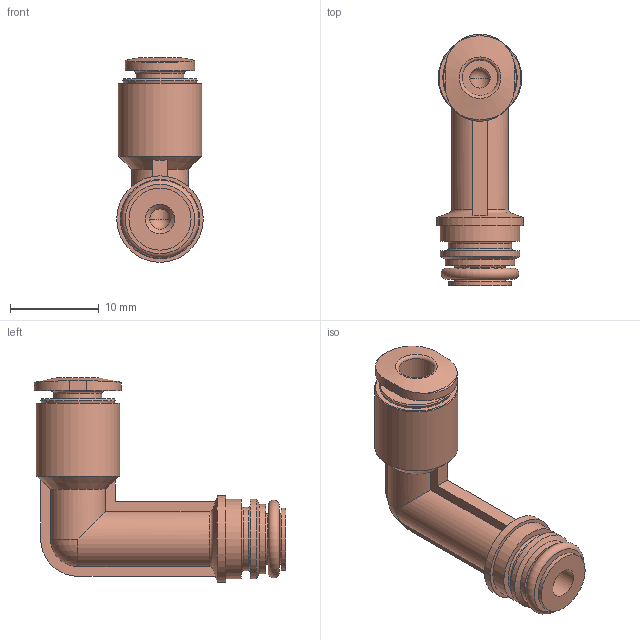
import cadquery as cq
import math


pipe_radius = 6.4 / 2
bore_radius = 2.3 / 2

rib_width = 1.6
rib_reach = 4.2
rib_corner_radius = 4.2

socket_top = 18.19
body_radius = 9.4 / 2
body_bottom = 7.1
body_cone_height = body_radius - pipe_radius
body_top_chamfer = 0.08
collar_top = socket_top - 2.4
collar_radius = 8.4 / 2
collar_end_radius = 8.2 / 2
collar_ridge = collar_top - 0.18
body_top = collar_top - 0.47

button_width = 7.8
button_length = 9.8
button_thickness = 1.48
button_bottom = socket_top - button_thickness
button_dome_height = 0.45
button_rim_bevel_width = 0.17
button_rim_bevel_height = 0.13
button_neck_radius = 5.4 / 2
button_neck_fillet = 0.35

tube_hole_radius = 4.0 / 2
tube_seat = body_bottom
tube_lip_radius = 0.35

overall_length = 28.3
spigot_reach = overall_length - button_length / 2
end_flange_radius = 7.0 / 2
end_flange_length = 0.47
oring_groove_radius = 5.65 / 2
oring_groove_end = 2.25
oring_groove_fillet = 0.2
oring_radius = 8.75 / 2
oring_start = 0.71
oring_width = 1.25
oring_shoulder_radius = 7.82 / 2
land_radius = 7.8 / 2
land_end = 2.95
barrel_radius = 8.93 / 2
barrel_chamfer_end = 3.28
clip_groove_start = 3.95
clip_groove_end = 5.0
clip_groove_radius = 7.15 / 2
clip_groove_fillet = 0.22
barrel_end = 6.75
shoulder_radius = 9.75 / 2
shoulder_end = 7.67
shoulder_cone_angle = 20
shoulder_fillet = 0.46
mouth_radius = 3.3 / 2
mouth_depth = 4.0


def revolve_profile(profile):
    """Revolve a closed (radius, height) profile about the Z axis."""
    return profile.close().revolve(360, (0, 0, 0), (0, 1, 0)).rotate((0, 0, 0), (1, 0, 0), 90)


def onto_spigot(shape):
    """Turn a shape built up +Z from the free end so that it lies along the spigot axis."""
    return shape.rotate((0, 0, 0), (1, 0, 0), -90).translate((0, -spigot_reach, 0))


def elbow(radius, upright_length, level_length):
    """Two round legs joined by a spherical outer corner."""
    upright = cq.Workplane("XY").circle(radius).extrude(upright_length)
    level = cq.Workplane("XZ").circle(radius).extrude(level_length)
    corner = cq.Workplane("XY").sphere(radius)
    return upright.union(level).union(corner)


def make_rib():
    spigot_side = spigot_reach - shoulder_end
    outline = (
        cq.Workplane("YZ")
        .moveTo(-spigot_side, -rib_reach)
        .lineTo(rib_reach, -rib_reach)
        .lineTo(rib_reach, body_bottom)
        .lineTo(-rib_reach, body_bottom)
        .lineTo(-rib_reach, rib_reach)
        .lineTo(-spigot_side, rib_reach)
        .close()
    )
    rib = outline.extrude(rib_width / 2, both=True)
    return rib.edges("|X and >Y and <Z").fillet(rib_corner_radius)


def make_socket_body():
    profile = (
        cq.Workplane("XY")
        .moveTo(0, body_bottom - body_cone_height)
        .lineTo(pipe_radius, body_bottom - body_cone_height)
        .lineTo(body_radius, body_bottom)
        .lineTo(body_radius, body_top - body_top_chamfer)
        .lineTo(body_radius - body_top_chamfer, body_top)
        .lineTo(collar_end_radius, body_top)
        .lineTo(collar_radius, collar_ridge)
        .lineTo(collar_end_radius, collar_top)
        .lineTo(0, collar_top)
    )
    return revolve_profile(profile)


def make_button():
    lip_outer_radius = tube_hole_radius + tube_lip_radius
    rim_radius = button_length / 2
    bevel_top = socket_top - button_dome_height
    dome = revolve_profile(
        cq.Workplane("XY")
        .moveTo(0, button_bottom)
        .lineTo(rim_radius, button_bottom)
        .lineTo(rim_radius, bevel_top - button_rim_bevel_height)
        .lineTo(rim_radius - button_rim_bevel_width, bevel_top)
        .lineTo(lip_outer_radius, socket_top)
        .lineTo(0, socket_top)
    )
    oblong = (
        cq.Workplane("XY", origin=(0, 0, button_bottom))
        .slot2D(button_length, button_width, 90)
        .extrude(button_thickness)
    )
    neck = revolve_profile(
        cq.Workplane("XY")
        .moveTo(0, collar_top)
        .lineTo(button_neck_radius, collar_top)
        .lineTo(button_neck_radius, button_bottom - button_neck_fillet)
        .radiusArc((button_neck_radius + button_neck_fillet, button_bottom), button_neck_fillet)
        .lineTo(0, button_bottom)
    )
    return dome.intersect(oblong).union(neck)


def make_groove(start, end, floor_radius, outer_radius, fillet):
    """Ring-shaped cutter for a groove with rounded floor corners."""
    ring = (
        cq.Workplane("XY", origin=(0, 0, start))
        .circle(outer_radius)
        .circle(floor_radius)
        .extrude(end - start)
    )
    floor_edges = cq.selectors.RadiusNthSelector(0)
    return ring.edges(floor_edges).fillet(fillet)


def make_oring():
    oring_end = oring_start + oring_width
    return revolve_profile(
        cq.Workplane("XY")
        .moveTo(0, oring_start)
        .lineTo(oring_shoulder_radius, oring_start)
        .threePointArc((oring_radius, oring_start + oring_width / 2), (oring_shoulder_radius, oring_end))
        .lineTo(0, oring_end)
    )


def make_spigot():
    cone_slope = math.tan(math.radians(shoulder_cone_angle))
    cone_end = shoulder_end + (shoulder_radius - pipe_radius) * cone_slope
    blend_turn = math.radians(90 - shoulder_cone_angle)
    blend_tangent = shoulder_fillet * math.tan(blend_turn / 2)
    blend_radius = pipe_radius + blend_tangent * math.sin(blend_turn)
    blend_start = cone_end - blend_tangent * math.cos(blend_turn)

    blank = revolve_profile(
        cq.Workplane("XY")
        .lineTo(end_flange_radius, 0)
        .lineTo(end_flange_radius, end_flange_length)
        .lineTo(land_radius, end_flange_length)
        .lineTo(land_radius, land_end)
        .lineTo(barrel_radius, barrel_chamfer_end)
        .lineTo(barrel_radius, barrel_end)
        .lineTo(shoulder_radius, barrel_end)
        .lineTo(shoulder_radius, shoulder_end)
        .lineTo(blend_radius, blend_start)
        .radiusArc((pipe_radius, cone_end + blend_tangent), shoulder_fillet)
        .lineTo(0, cone_end + blend_tangent)
    )
    oring_groove = make_groove(
        end_flange_length, oring_groove_end, oring_groove_radius, shoulder_radius, oring_groove_fillet
    )
    clip_groove = make_groove(
        clip_groove_start, clip_groove_end, clip_groove_radius, shoulder_radius, clip_groove_fillet
    )
    return onto_spigot(blank.cut(oring_groove).cut(clip_groove).union(make_oring()))


def make_tube_hole():
    lip_outer_radius = tube_hole_radius + tube_lip_radius
    return revolve_profile(
        cq.Workplane("XY")
        .moveTo(0, tube_seat)
        .lineTo(tube_hole_radius, tube_seat)
        .lineTo(tube_hole_radius, socket_top - tube_lip_radius)
        .radiusArc((lip_outer_radius, socket_top), tube_lip_radius)
        .lineTo(0, socket_top)
    )


def make_mouth():
    """Wide round entry at the spigot end with a 45 degree cone down to the bore."""
    cone_height = mouth_radius - bore_radius
    return onto_spigot(
        revolve_profile(
            cq.Workplane("XY")
            .lineTo(mouth_radius, 0)
            .lineTo(mouth_radius, mouth_depth)
            .lineTo(bore_radius, mouth_depth + cone_height)
            .lineTo(0, mouth_depth + cone_height)
        )
    )


result = (
    elbow(pipe_radius, body_bottom, spigot_reach - shoulder_end)
    .union(make_rib())
    .union(make_socket_body())
    .union(make_button())
    .union(make_spigot())
    .cut(elbow(bore_radius, tube_seat, spigot_reach))
    .cut(make_tube_hole())
    .cut(make_mouth())
)